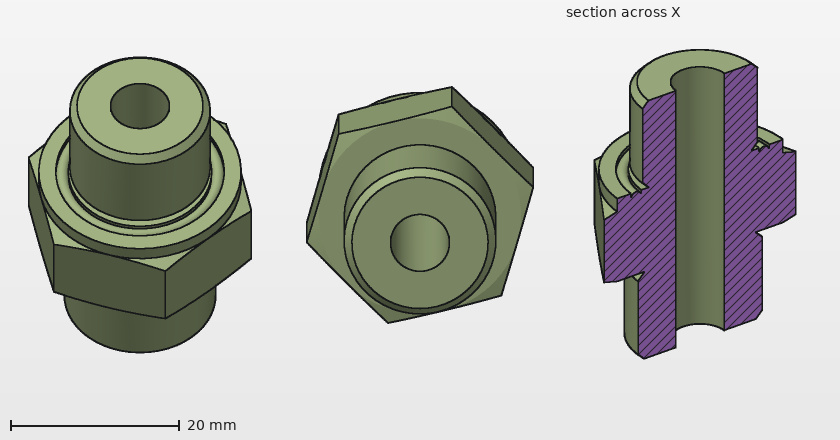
import cadquery as cq
import math

TOTAL_HEIGHT = 35.5
STUD_LENGTH = 12.0
COLLAR_HEIGHT = 1.8
COLLAR_TOP = TOTAL_HEIGHT - STUD_LENGTH
HEX_TOP = COLLAR_TOP - COLLAR_HEIGHT
HEX_HEIGHT = HEX_TOP - STUD_LENGTH

ACROSS_FLATS = 24.0
ACROSS_CORNERS = ACROSS_FLATS / math.cos(math.pi / 6)
LOWER_STUD_DIAMETER = 18.0
UPPER_STUD_DIAMETER = 16.65
BORE_DIAMETER = 7.0
LOWER_STUD_CHAMFER = 0.92
UPPER_STUD_CHAMFER = 0.85

BEVEL_ANGLE = math.radians(15)
BEVEL_DROP = (ACROSS_CORNERS - ACROSS_FLATS) / 2 * math.tan(BEVEL_ANGLE)

RING_INNER_DIAMETER = 17.0
RING_OUTER_DIAMETER = 20.0
RING_SECTION = (RING_OUTER_DIAMETER - RING_INNER_DIAMETER) / 2


def make_stud(diameter, chamfer, base_level):
    """Plain stud chamfered at both ends."""
    stud = cq.Workplane("XY").workplane(offset=base_level).circle(diameter / 2).extrude(STUD_LENGTH)
    return stud.edges("%CIRCLE").chamfer(chamfer)


def make_hexagon():
    """Hexagon with corners on +Y and -Y, its corners bevelled conically at both faces."""
    prism = (
        cq.Workplane("XY")
        .workplane(offset=STUD_LENGTH)
        .polygon(6, ACROSS_CORNERS)
        .extrude(HEX_HEIGHT)
        .rotate((0, 0, 0), (0, 0, 1), 30)
    )
    flat_radius = ACROSS_FLATS / 2
    corner_radius = ACROSS_CORNERS / 2
    bevel_envelope = (
        cq.Workplane("XZ")
        .moveTo(0, STUD_LENGTH)
        .lineTo(flat_radius, STUD_LENGTH)
        .lineTo(corner_radius, STUD_LENGTH + BEVEL_DROP)
        .lineTo(corner_radius, HEX_TOP - BEVEL_DROP)
        .lineTo(flat_radius, HEX_TOP)
        .lineTo(0, HEX_TOP)
        .close()
        .revolve(360, (0, 0), (0, 1))
    )
    return prism.intersect(bevel_envelope)


def make_collar():
    """Round collar with an annular groove for the sealing ring."""
    collar = cq.Workplane("XY").workplane(offset=HEX_TOP).circle(ACROSS_FLATS / 2).extrude(COLLAR_HEIGHT)
    groove = (
        cq.Workplane("XY")
        .workplane(offset=COLLAR_TOP - RING_SECTION / 2)
        .circle(RING_OUTER_DIAMETER / 2)
        .circle(RING_INNER_DIAMETER / 2)
        .extrude(RING_SECTION / 2)
    )
    return collar.cut(groove)


def make_sealing_ring():
    """Round-section ring whose crown is level with the collar face."""
    ring_centre_radius = (RING_INNER_DIAMETER + RING_OUTER_DIAMETER) / 4
    return (
        cq.Workplane("XZ")
        .center(ring_centre_radius, COLLAR_TOP - RING_SECTION / 2)
        .circle(RING_SECTION / 2)
        .revolve(360, (-ring_centre_radius, 0), (-ring_centre_radius, 1))
    )


bore = cq.Workplane("XY").circle(BORE_DIAMETER / 2).extrude(TOTAL_HEIGHT)

result = (
    make_stud(LOWER_STUD_DIAMETER, LOWER_STUD_CHAMFER, 0)
    .union(make_hexagon())
    .union(make_collar())
    .union(make_sealing_ring())
    .union(make_stud(UPPER_STUD_DIAMETER, UPPER_STUD_CHAMFER, COLLAR_TOP))
    .cut(bore)
)